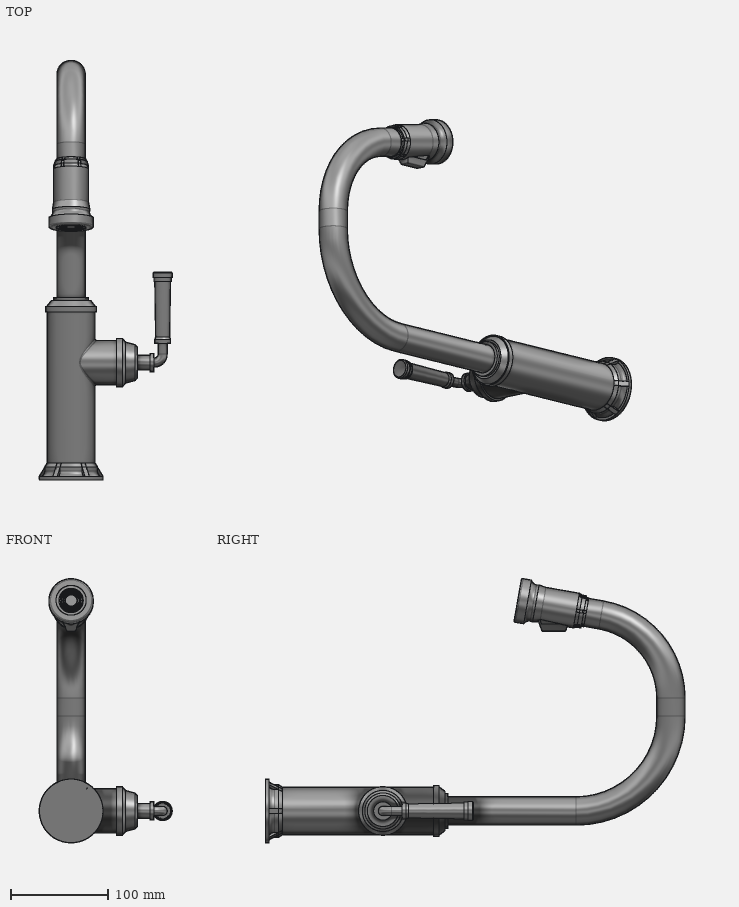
import cadquery as cq
import math

overall_length = 432.5

flare_middle_out = 0.3
flare_middle_along = 0.6

foot_radius = 33.0
foot_flange_thickness = 4.0
foot_flare_radius = 30.5
foot_bead_radius = 27.3
foot_bead_start = 9.5
foot_height = 17.7

body_radius = 24.5
shoulder_start = 173.5
shoulder_rim_radius = 26.5
shoulder_rim_width = 5.5
shoulder_cone_start_radius = 25.0
shoulder_cone_end_radius = 20.5
shoulder_cone_end = 185.0
shoulder_tip_radius = 18.0
shoulder_end = 188.0

tube_radius = 14.5
lower_bend_radius = 97.8
riser_length = 18.5
upper_bend_radius = 87.0
outlet_length = 13.0
head_tilt = 10.0
riser_y = overall_length - tube_radius

collar_start = 2.5
collar_radius = 15.0
collar_bead_radius = 17.0
collar_bead_start = 5.0
collar_bead_end = 9.5
head_start = 13.0
head_radius = 18.0
head_bead_start = 48.0
head_bead_radius = 19.5
head_bead_peak = 55.5
head_flare_start = 58.0
head_flare_radius = 19.0
lip_start = 64.0
lip_radius = 23.0
lip_rounding = 1.7
head_end = 74.5
face_step_radius = 15.5
face_step_depth = 1.0
nozzle_grooves = [(6.0, 7.5), (8.5, 10.0), (11.2, 12.5)]
nozzle_groove_depth = 1.7

pad_start = 284.5
pad_end = 313.2
pad_width = 15.5
pad_bottom = 192.5
button_start = 285.0
button_end = 309.5
button_width = 9.0
button_bottom = 185.0
button_rounding = 1.5
button_root = 202.5
button_draft = 20.0

rib_count = 6
foot_rib_width = 5.0
collar_rib_width = 3.0

valve_y = 121.0
valve_joint_fillet = 1.7
valve_radius = 23.0
valve_ring_start = 46.7
valve_ring_end = 53.0
valve_ring_radius = 25.0
valve_cap_start = 56.2
valve_cap_radius = 21.0
valve_cap_end = 65.8
valve_cap_end_radius = 18.5
valve_end = 68.5
valve_end_radius = 16.0
stem_radius = 8.0
stem_ring_radius = 9.5
stem_ring_start = 81.5
stem_ring_end = 85.2

lever_x = 94.5
lever_neck_radius = 4.8
elbow_radius = 8.5
lever_start = 141.0
lever_ring_radius = 8.2
lever_ring_width = 4.0
lever_foot_width = 6.5
lever_foot_radius = 7.5
lever_grip_end = 204.5
lever_grip_radius = 8.2
lever_bead_radius = 9.0
lever_cap_start = 209.0
lever_cap_radius = 10.0
lever_end = 214.5
lever_end_chamfer = 1.5


def revolve_about_y(outline):
    """Turn an outline of (radius, Y) into a solid around the Y axis."""
    return outline.close().revolve(360, (0, 0, 0), (0, 1, 0))


def ribs(side_outline, width):
    """Ribs spaced evenly around the Y axis, the first one on +X."""
    rib = cq.Workplane("XY").polyline(side_outline).close().extrude(width / 2, both=True)
    ring = rib
    for index in range(1, rib_count):
        ring = ring.union(rib.rotate((0, 0, 0), (0, 1, 0), index * 360 / rib_count))
    return ring


def make_body():
    flare_middle = (
        foot_bead_radius + flare_middle_out * (foot_flare_radius - foot_bead_radius),
        foot_bead_start + flare_middle_along * (foot_flange_thickness - foot_bead_start),
    )
    rim_end = shoulder_start + shoulder_rim_width
    outline = (
        cq.Workplane("XY")
        .lineTo(foot_radius, 0)
        .lineTo(foot_radius, foot_flange_thickness)
        .lineTo(foot_flare_radius, foot_flange_thickness)
        .threePointArc(flare_middle, (foot_bead_radius, foot_bead_start))
        .lineTo(foot_bead_radius, (foot_bead_start + foot_height) / 2)
        .lineTo(body_radius, foot_height)
        .lineTo(body_radius, shoulder_start)
        .lineTo(shoulder_rim_radius, shoulder_start)
        .lineTo(shoulder_rim_radius, rim_end)
        .lineTo(shoulder_cone_start_radius, rim_end)
        .lineTo(shoulder_cone_end_radius, shoulder_cone_end)
        .lineTo(shoulder_tip_radius, shoulder_cone_end)
        .lineTo(shoulder_tip_radius, shoulder_end)
        .lineTo(0, shoulder_end)
    )
    rib_side = [
        (0, foot_flange_thickness),
        (foot_radius, foot_flange_thickness),
        (body_radius, foot_height),
        (0, foot_height),
    ]
    return revolve_about_y(outline).union(ribs(rib_side, foot_rib_width))


lower_bend_center = (riser_y - lower_bend_radius, lower_bend_radius)
upper_bend_center = (riser_y - upper_bend_radius, lower_bend_radius + riser_length)
upper_bend_sweep = 90 - head_tilt


def point_on_circle(center, radius, degrees):
    """Point (Y, Z) on a circle, the angle measured from +Y towards +Z."""
    angle = math.radians(degrees)
    return (center[0] + radius * math.cos(angle), center[1] + radius * math.sin(angle))


upper_bend_middle = point_on_circle(upper_bend_center, upper_bend_radius, upper_bend_sweep / 2)
upper_bend_end = point_on_circle(upper_bend_center, upper_bend_radius, upper_bend_sweep)
tube_end = point_on_circle(upper_bend_end, outlet_length, 180 - head_tilt)


def make_tube():
    path = (
        cq.Workplane("YZ")
        .moveTo(shoulder_start, 0)
        .lineTo(lower_bend_center[0], 0)
        .threePointArc(
            point_on_circle(lower_bend_center, lower_bend_radius, -45),
            (riser_y, lower_bend_center[1]),
        )
        .lineTo(riser_y, upper_bend_center[1])
        .threePointArc(upper_bend_middle, upper_bend_end)
        .polarLine(outlet_length + head_start, 180 - head_tilt)
    )
    section = cq.Workplane("XZ", origin=(0, shoulder_start, 0)).circle(tube_radius)
    return section.sweep(path)


def make_head():
    flare_middle = (
        head_flare_radius + flare_middle_out * (lip_radius - head_flare_radius),
        head_flare_start + flare_middle_along * (lip_start - head_flare_start),
    )
    outline = (
        cq.Workplane("XY")
        .moveTo(0, collar_start)
        .lineTo(collar_radius, collar_start)
        .lineTo(collar_radius, collar_bead_start)
        .lineTo(collar_bead_radius, collar_bead_start)
        .lineTo(collar_bead_radius, collar_bead_end)
        .lineTo(head_radius, head_start)
        .lineTo(head_radius, head_bead_start)
        .lineTo(head_bead_radius, head_bead_peak)
        .lineTo(head_flare_radius, head_flare_start)
        .threePointArc(flare_middle, (lip_radius, lip_start))
        .lineTo(lip_radius, head_end - lip_rounding)
        .radiusArc((lip_radius - lip_rounding, head_end), -lip_rounding)
        .lineTo(face_step_radius, head_end)
        .lineTo(face_step_radius, head_end - face_step_depth)
        .lineTo(0, head_end - face_step_depth)
    )
    head = revolve_about_y(outline)
    for inner, outer in nozzle_grooves:
        groove = (
            cq.Workplane("XZ", origin=(0, head_end, 0))
            .circle(outer)
            .circle(inner)
            .extrude(face_step_depth + nozzle_groove_depth)
        )
        head = head.cut(groove)
    rib_side = [
        (0, collar_start),
        (collar_radius, collar_start),
        (head_radius, collar_bead_end),
        (head_radius, head_start),
        (0, head_start),
    ]
    head = head.union(ribs(rib_side, collar_rib_width))
    return head.rotate((0, 0, 0), (1, 0, 0), 180 - head_tilt).translate((0, *tube_end))


def drafted_block(start, end, width, bottom):
    """Block between two Y places, narrowing from its root in the head to its bottom face."""
    height = button_root - bottom
    root_growth = 2 * height * math.tan(math.radians(button_draft))
    return (
        cq.Workplane("XY", origin=(0, (start + end) / 2, button_root))
        .rect(width + root_growth, end - start + root_growth)
        .extrude(-height, taper=button_draft)
    )


def make_button():
    pad = drafted_block(pad_start, pad_end, pad_width, pad_bottom)
    button = drafted_block(button_start, button_end, button_width, button_bottom)
    return pad.union(button.faces("<Z").edges().fillet(button_rounding))


def make_valve():
    outline = (
        cq.Workplane("XY")
        .lineTo(valve_radius, 0)
        .lineTo(valve_radius, valve_ring_start)
        .lineTo(valve_ring_radius, valve_ring_start)
        .lineTo(valve_ring_radius, valve_ring_end)
        .lineTo(valve_cap_radius, valve_cap_start)
        .lineTo(valve_cap_end_radius, valve_cap_end)
        .lineTo(valve_end_radius, valve_end)
        .lineTo(stem_radius, valve_end)
        .lineTo(stem_radius, stem_ring_start)
        .lineTo(stem_ring_radius, stem_ring_start)
        .lineTo(stem_ring_radius, stem_ring_end)
        .lineTo(0, stem_ring_end)
    )
    return revolve_about_y(outline).rotate((0, 0, 0), (0, 0, 1), -90).translate((0, valve_y, 0))


def make_body_with_valve():
    joint_zone = cq.selectors.BoxSelector(
        (0, valve_y - valve_radius / 2, -body_radius),
        (body_radius, valve_y + valve_radius / 2, body_radius),
    )
    return make_body().union(make_valve()).edges(joint_zone).fillet(valve_joint_fillet)


def make_elbow():
    path = (
        cq.Workplane("XY")
        .moveTo(stem_ring_start, valve_y)
        .lineTo(lever_x - elbow_radius, valve_y)
        .tangentArcPoint((lever_x, valve_y + elbow_radius), relative=False)
        .lineTo(lever_x, lever_start + lever_ring_width)
    )
    section = cq.Workplane("YZ", origin=(stem_ring_start, valve_y, 0)).circle(lever_neck_radius)
    return section.sweep(path)


def make_lever():
    outline = (
        cq.Workplane("XY")
        .moveTo(0, lever_start)
        .lineTo(lever_ring_radius, lever_start)
        .lineTo(lever_ring_radius, lever_start + lever_ring_width)
        .lineTo(lever_foot_radius, lever_start + lever_foot_width)
        .lineTo(lever_grip_radius, lever_grip_end)
        .lineTo(lever_bead_radius, lever_grip_end)
        .lineTo(lever_bead_radius, lever_cap_start)
        .lineTo(lever_cap_radius, lever_cap_start)
        .lineTo(lever_cap_radius, lever_end - lever_end_chamfer)
        .lineTo(lever_cap_radius - lever_end_chamfer, lever_end)
        .lineTo(0, lever_end)
    )
    return revolve_about_y(outline).translate((lever_x, 0, 0))


result = (
    make_body_with_valve()
    .union(make_tube())
    .union(make_head())
    .union(make_button())
    .union(make_elbow())
    .union(make_lever())
)